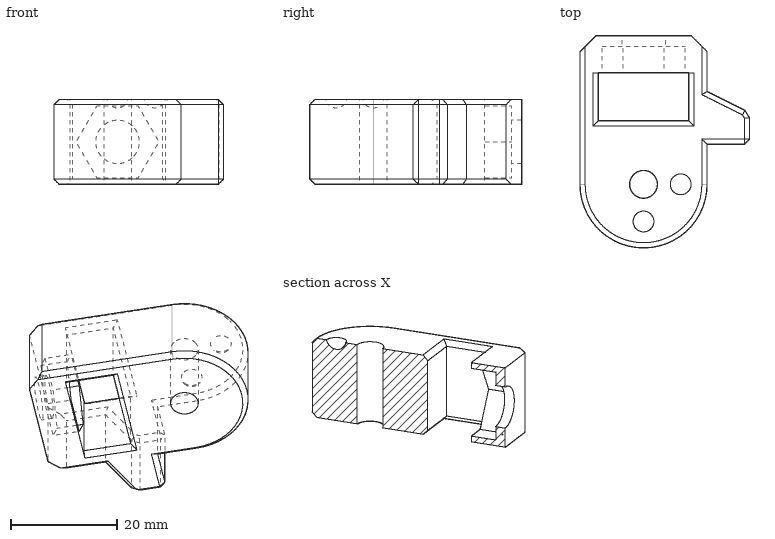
import cadquery as cq
import math

height = 16.0
body_radius = 12.0
rear_y = 28.0
corner_cut = 3.0
edge_chamfer = 1.0

arm_tip_x = 20.0
arm_front_y = 7.5
arm_tip_width = 6.0
arm_root_width = 10.0

window_width = 17.0
window_front_y = 12.0
window_rear_y = 21.0

nut_across_flats = 13.5
nut_depth = 5.0
bolt_diameter = 8.2

pivot_diameter = 5.2
dimple_ball_diameter = 4.0
dimple_ball_rise = 0.4
dimple_offset = 7.0


def make_body():
    """Rounded block with side and front rims chamfered and rear corners cut off."""
    block = (
        cq.Workplane("XY")
        .moveTo(-body_radius, rear_y)
        .lineTo(-body_radius, 0)
        .threePointArc((0, -body_radius), (body_radius, 0))
        .lineTo(body_radius, rear_y)
        .close()
        .extrude(height)
    )
    rims = block.faces("<Z or >Z").edges("not >Y")
    block = rims.chamfer(edge_chamfer)
    for side in (-1, 1):
        corner = (
            cq.Workplane("XY")
            .moveTo(side * body_radius, rear_y)
            .lineTo(side * (body_radius - corner_cut), rear_y)
            .lineTo(side * body_radius, rear_y - corner_cut)
            .close()
            .extrude(height)
        )
        block = block.cut(corner)
    return block


def make_arm():
    """Tapered arm, rooted inside the body and chamfered on its exposed edges."""
    taper = (arm_root_width - arm_tip_width) / (arm_tip_x - body_radius)
    root_x = body_radius - 2 * edge_chamfer
    root_rear_y = arm_front_y + arm_tip_width + taper * (arm_tip_x - root_x)
    arm = (
        cq.Workplane("XY")
        .moveTo(root_x, arm_front_y)
        .lineTo(arm_tip_x, arm_front_y)
        .lineTo(arm_tip_x, arm_front_y + arm_tip_width)
        .lineTo(root_x, root_rear_y)
        .close()
        .extrude(height)
    )
    return arm.edges("not <X").chamfer(edge_chamfer)


def make_window():
    """Rectangular opening, flared at both ends on every side but the rear."""
    length = window_rear_y - window_front_y
    center_y = (window_front_y + window_rear_y) / 2
    window = cq.Workplane("XY").center(0, center_y).rect(window_width, length).extrude(height)
    flare = (
        cq.Workplane("XY")
        .center(0, window_rear_y)
        .rect(window_width + 2 * edge_chamfer, 2 * (length + edge_chamfer))
        .extrude(edge_chamfer, taper=45)
    )
    flare = flare.intersect(
        cq.Workplane("XY")
        .center(0, window_rear_y - length)
        .rect(2 * window_width, 2 * length)
        .extrude(height)
    )
    return window.union(flare).union(flare.mirror("XY").translate((0, 0, height)))


def make_nut_pocket():
    """Hexagonal pocket entered from the window, with a bolt hole out through the rear."""
    corner_diameter = nut_across_flats / math.cos(math.radians(30))
    wall_plane = cq.Workplane("XZ", origin=(0, window_rear_y, height / 2))
    pocket = wall_plane.polygon(6, corner_diameter).extrude(-nut_depth)
    bolt = wall_plane.circle(bolt_diameter / 2).extrude(window_rear_y - rear_y)
    return pocket.union(bolt)


def make_dimple(x, y):
    """Ball that cuts one detent dimple into the top face."""
    return cq.Workplane("XY").sphere(dimple_ball_diameter / 2).translate((x, y, height + dimple_ball_rise))


pivot_hole = cq.Workplane("XY").circle(pivot_diameter / 2).extrude(height)

result = make_body().union(make_arm())
result = result.cut(make_window()).cut(make_nut_pocket()).cut(pivot_hole)
for dimple_x, dimple_y in ((dimple_offset, 0), (0, -dimple_offset)):
    result = result.cut(make_dimple(dimple_x, dimple_y))